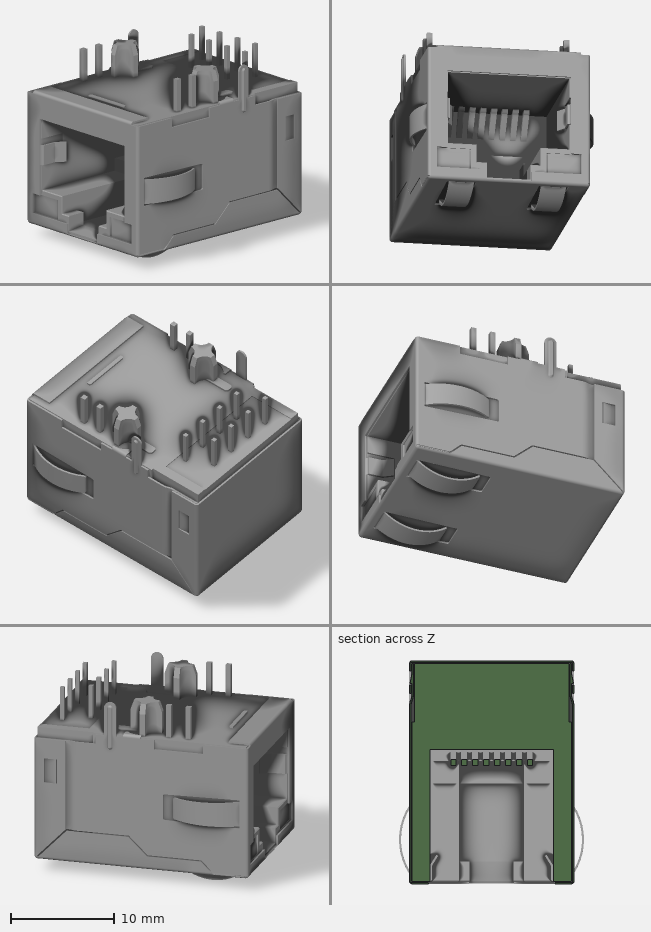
import cadquery as cq
import math


depth = 21.6
half_width = 7.97
sheet = 0.2
gap = 0.05
layer = sheet + gap
bend_radius = 0.3
side_top = 13.26
housing_top = 13.33
shield_inner = half_width - sheet
housing_side = half_width - layer
housing_step = housing_side - layer
back_top = 12.31
pin_top = 16.59

mouth_half_width = 5.96
mouth_top = 10.86
channel_half_width = 3.13
latch_gap_half_width = 2.14
ledge_z = 3.72
catch_top = 1.95
channel_floor = 0.63
mouth_chamfer = 0.09
lip_floor = 0.4
catch_end = 2.14
inner_step_y = 9.72
ledge_step_z = 5.0
carrier_y = 11.88
carrier_z = 6.3
cavity_end = 12.95

light_inner = 3.7
light_outer = 7.1
light_bottom = 1.17
light_top = 3.2
light_slit = 0.17
light_margin = 0.05
light_pocket_depth = 0.22
light_recess = 0.09

contact_count = 8
contact_pitch = 1.05
contact_width = 0.56
contact_thickness = 0.35
contact_bend_z = 10.43
contact_low_z = 8.25
contact_front_y = 11.12
contact_bend_length = 0.25
contact_bend_middle = (11.2, 10.58)

peg_x = 5.72
peg_y = 10.85
peg_reach = 1.58
peg_arm = 0.58
peg_flute_radius = 0.97
peg_top = 16.5
peg_taper_z = 15.55
peg_tip_reach = 1.23
rib_width = 0.9
rib_height = 0.2
rib_end_y = 14.25
rib_corner = 0.3
bar_half_length = 2.53
bar_front_y = 3.13
bar_width = 0.4
bar_height = 0.17
bar_corner = 0.13
recess_half_width = 6.48
recess_front_y = 16.42
recess_depth = 0.09
step_front_y = 15.68

signal_pin = 0.4
signal_pitch = 1.27
signal_count = 8
signal_rows = (19.76, 17.24)
light_pin = 0.52
light_pin_x = 6.72
light_pin_rows = (8.32, 6.33)

opening_half_width = 6.07
opening_top = 10.95
notch_half_width = 2.18
strip_half_width = 7.05
strip_length = 2.2
shield_top = housing_top + layer
low_side_y = 15.38
side_notch = (4.51, 9.45)
jog_front_y = 17.2
flap_front_y = 18.4
flap_line_z = 3.28
seam_gap = 0.15
corner_seam = 0.06
corner_bottom = 0.15
seam_end_y = 3.52
flap_corners = ((12.0, flap_line_z), (10.1, 1.47), (4.67, 1.47))
ground_tab_y = 13.9
ground_tab_width = 1.2
ground_tab_top = 16.7
emboss_width = 0.56
emboss_bottom = 11.9
emboss_top = 16.4
emboss_height = 0.17
emboss_taper = 40

spring_front_y = 1.0
spring_end_y = 7.54
side_spring_z = 6.52
side_spring_reach = 0.97
bottom_spring_x = 4.51
bottom_spring_reach = 1.2
spring_half_widths = (1.23, 1.08)
window_front_y = 0.85
window_end_y = 8.55
window_half_widths = (1.45, 1.32)
spring_corner = 0.17
spring_root_inset = 0.05

tongue_bottom = 6.26
tongue_top = 8.25
tongue_face = 5.77
tongue_wall = tongue_face + sheet
tongue_bend_y = 1.73
tongue_end_y = 2.7
tongue_tip = 5.16
tongue_clearance = 0.17
tongue_pocket_end = 3.02
tongue_pocket_top = 8.92

latch_window_y = (19.27, 20.58)
latch_window_z = (7.86, 10.35)
latch_front_y = 19.38
latch_foot_y = 20.37
latch_rise = 0.2

lug_front_y = 10.82
lug_rear_y = 12.6
lug_tip_x = 7.0
lug_tip_y = 12.38
lug_root_x = 7.67
lug_root_z = side_top - bend_radius
lug_curve = (7.45, 11.82)


def block(x0, x1, y0, y1, z0, z1):
    return cq.Workplane("XY").box(x1 - x0, y1 - y0, z1 - z0, centered=False).translate((x0, y0, z0))


def centred_block(half_x, y0, y1, z0, z1):
    return block(-half_x, half_x, y0, y1, z0, z1)


def post(x, y, size, z0, z1):
    return block(x - size / 2, x + size / 2, y - size / 2, y + size / 2, z0, z1)


def both_sides(body):
    """A +X feature together with its mirror image."""
    return body.union(body.mirror("YZ"))


def side_plate(sketch, x0, x1):
    """Extrude a closed YZ outline from x0 to x1."""
    return sketch.extrude(x1 - x0).translate((x0, 0, 0))


def mouth_cavity():
    cavity = centred_block(mouth_half_width, 0, carrier_y, ledge_step_z, mouth_top)
    cavity = cavity.union(centred_block(mouth_half_width, 0, cavity_end, carrier_z, mouth_top))
    cavity = cavity.union(centred_block(mouth_half_width, 0, inner_step_y, ledge_z, mouth_top))
    cavity = cavity.union(centred_block(channel_half_width, 0, carrier_y, catch_top, mouth_top))
    cavity = cavity.union(
        centred_block(channel_half_width, catch_end, inner_step_y, channel_floor, mouth_top))
    lip = (
        cq.Workplane("YZ")
        .polyline([(layer, lip_floor), (catch_end, channel_floor),
                   (catch_end, mouth_top), (layer, mouth_top)])
        .close()
    )
    return cavity.union(lip.extrude(latch_gap_half_width, both=True))


def chamfer_ledges(body):
    """Break the front edges of the ledges and latch catches."""
    margin = 0.02
    zone = cq.selectors.BoxSelector(
        (-mouth_half_width, layer - margin, catch_top - margin),
        (mouth_half_width, layer + margin, ledge_z + margin))
    return body.edges(zone).chamfer(mouth_chamfer)


def tongue_pocket():
    """Room in the mouth wall for a spring tongue of the shield."""
    return block(tongue_face, tongue_wall + tongue_clearance, 0, tongue_pocket_end,
                 tongue_bottom - gap, tongue_pocket_top)


def light_pocket():
    inner = light_inner
    outer = light_outer - light_margin
    bottom = light_bottom + light_margin
    front = layer
    pocket = block(inner, outer, front, front + light_pocket_depth, bottom, light_top)
    light = block(inner + light_slit, outer, front + light_recess, front + light_pocket_depth,
                  bottom, light_top)
    return pocket.cut(light)


def contact(x):
    """One contact wire running from the ceiling down and back to the rear wall of the mouth."""
    profile = (
        cq.Workplane("YZ")
        .moveTo(contact_front_y, mouth_top + contact_thickness)
        .lineTo(contact_front_y, mouth_top)
        .threePointArc(contact_bend_middle,
                       (contact_front_y + contact_bend_length, contact_bend_z))
        .lineTo(cavity_end, contact_low_z)
        .lineTo(cavity_end, contact_low_z + contact_thickness)
        .lineTo(contact_front_y + 2 * contact_bend_length, mouth_top + contact_thickness)
        .close()
    )
    return profile.extrude(contact_width / 2, both=True).translate((x, 0, 0))


def peg(x):
    """Cross-shaped locating peg with hollow flutes and tapered arm ends."""
    arm = peg_arm / 2
    near = arm + peg_flute_radius
    height = peg_top - housing_top
    outline = centred_block(near, -near, near, 0, height)
    for sx in (-1, 1):
        for sy in (-1, 1):
            flute = cq.Workplane("XY").center(sx * near, sy * near).circle(peg_flute_radius)
            outline = outline.cut(flute.extrude(height))
    for size_x, size_y in ((2 * peg_reach, peg_arm), (peg_arm, 2 * peg_reach)):
        outline = outline.union(
            cq.Workplane("XY").box(size_x, size_y, height, centered=(True, True, False)))
    taper_z = peg_taper_z - housing_top
    taper = (
        cq.Workplane("XZ")
        .polyline([(-peg_reach, 0), (peg_reach, 0), (peg_reach, taper_z), (peg_tip_reach, height),
                   (-peg_tip_reach, height), (-peg_reach, taper_z)])
        .close()
        .extrude(peg_reach, both=True)
    )
    outline = outline.intersect(taper).intersect(taper.rotate((0, 0, 0), (0, 0, 1), 90))
    return outline.translate((x, peg_y, housing_top))


def peg_rib(x):
    rib = block(x - rib_width / 2, x + rib_width / 2, peg_y, rib_end_y,
                housing_top, housing_top + rib_height)
    return rib.edges("|Z and >Y").fillet(rib_corner)


def signal_pins():
    first_x = -(signal_count - 1) / 2 * signal_pitch
    return [
        post(first_x + i * signal_pitch, signal_rows[i % 2], signal_pin,
             housing_top - recess_depth, pin_top)
        for i in range(signal_count)
    ]


def light_pins():
    return [
        post(side * light_pin_x, y, light_pin, housing_top, pin_top)
        for side in (-1, 1)
        for y in light_pin_rows
    ]


def make_housing():
    body = centred_block(housing_side, layer, depth - layer, layer, housing_top)
    body = body.cut(both_sides(
        block(housing_step, half_width, step_front_y, depth, 0, housing_top)))
    body = body.cut(mouth_cavity())
    body = chamfer_ledges(body)
    body = body.cut(both_sides(tongue_pocket()))
    body = body.cut(both_sides(light_pocket()))
    body = body.cut(centred_block(recess_half_width, recess_front_y, depth,
                                  housing_top - recess_depth, housing_top))
    bar = centred_block(bar_half_length, bar_front_y, bar_front_y + bar_width,
                        housing_top, housing_top + bar_height)
    body = body.union(bar.edges("|Z and >Y").chamfer(bar_corner))
    for side in (-1, 1):
        body = body.union(peg(side * peg_x)).union(peg_rib(side * peg_x))
    for pin in signal_pins() + light_pins():
        body = body.union(pin)
    first_x = -(contact_count - 1) / 2 * contact_pitch
    for i in range(contact_count):
        body = body.union(contact(first_x + i * contact_pitch))
    return body


def shell():
    """Five-sided box, open on the board side, with rounded bends."""
    outer = centred_block(half_width, 0, depth, 0, side_top)
    outer = outer.edges("|Z or <Z").fillet(bend_radius)
    inner = centred_block(shield_inner, sheet, depth - sheet, sheet, side_top)
    corner = block(shield_inner, half_width, bend_radius, seam_end_y, corner_bottom, bend_radius)
    slit = block(shield_inner, half_width, 0, seam_end_y, bend_radius - corner_seam, bend_radius)
    return outer.cut(inner).union(both_sides(corner)).cut(both_sides(slit))


def front_opening():
    opening = centred_block(opening_half_width, 0, sheet, light_bottom, opening_top)
    opening = opening.union(centred_block(light_outer, 0, sheet, light_bottom, light_top))
    return opening.union(centred_block(notch_half_width, 0, sheet, sheet, light_top))


def top_strip():
    """Front panel folded back over the housing."""
    strip = centred_block(strip_half_width, 0, strip_length, side_top - bend_radius, shield_top)
    strip = strip.edges(">Z and <Y").fillet(bend_radius)
    return strip.cut(centred_block(strip_half_width, sheet, strip_length, 0, shield_top - sheet))


def seam():
    """Gap between the side wall, the rear flap and the flap folded up from the floor."""
    overrun = 1.3
    outline = (
        cq.Workplane("YZ")
        .polyline([(depth + overrun, -overrun), (flap_front_y, flap_line_z), *flap_corners,
                   (seam_end_y - overrun, bend_radius - overrun)])
        .close()
    )
    whole = outline.extrude(sheet)
    flap = cq.Workplane("YZ").add(outline.wires().val()).toPending()
    flap = flap.offset2D(-seam_gap, "intersection").extrude(sheet)
    above_floor = block(0, sheet, 0, depth, bend_radius - sheet, side_top)
    return whole.cut(flap).intersect(above_floor).translate((shield_inner, 0, 0))


def jogged_wall():
    """Side wall stepping inward to pass under the rear flap."""
    half_jog = (flap_front_y - jog_front_y) / 2
    middle_y = jog_front_y + half_jog
    under_flap = half_width - layer
    radius = (half_jog ** 2 + (layer / 2) ** 2) / layer
    inside_end = under_flap - sheet
    wall = (
        cq.Workplane("XY")
        .moveTo(half_width, jog_front_y)
        .radiusArc((half_width - layer / 2, middle_y), -radius)
        .radiusArc((under_flap, flap_front_y), radius)
        .lineTo(under_flap, depth - layer)
        .lineTo(inside_end, depth - layer)
        .lineTo(inside_end, flap_front_y)
        .radiusArc((shield_inner - layer / 2, middle_y), -radius)
        .radiusArc((shield_inner, jog_front_y), radius)
        .close()
    )
    return wall.extrude(back_top - flap_line_z).translate((0, 0, flap_line_z))


def latch():
    """Ramp on the inner wall, showing in the window of the rear flap."""
    z0, z1 = latch_window_z
    wall = half_width - layer
    wedge = (
        cq.Workplane("XY")
        .polyline([(wall, latch_front_y), (wall + latch_rise, latch_front_y), (wall, latch_foot_y)])
        .close()
    )
    return wedge.extrude(z1 - z0).translate((0, 0, z0))


def ground_tab():
    """Round-ended solder tab with a raised stiffening bead."""
    radius = ground_tab_width / 2
    tab = block(shield_inner, half_width, ground_tab_y - radius, ground_tab_y + radius,
                side_top - sheet, ground_tab_top - radius)
    end = cq.Workplane("YZ").center(ground_tab_y, ground_tab_top - radius).circle(radius)
    bead = (
        cq.Workplane("YZ")
        .center(ground_tab_y, (emboss_bottom + emboss_top) / 2)
        .slot2D(emboss_top - emboss_bottom, emboss_width, 90)
        .extrude(emboss_height, taper=emboss_taper)
        .translate((half_width, 0, 0))
    )
    return tab.union(side_plate(end, shield_inner, half_width)).union(bead)


def hold_down():
    """Hook-shaped lug bent from the side wall over the housing."""
    lug = (
        cq.Workplane("XY")
        .moveTo(half_width, lug_front_y)
        .lineTo(lug_root_x, lug_front_y)
        .threePointArc(lug_curve, (lug_tip_x, lug_tip_y))
        .lineTo(lug_tip_x, lug_rear_y)
        .lineTo(half_width, lug_rear_y)
        .close()
        .extrude(shield_top - lug_root_z)
        .translate((0, 0, lug_root_z))
    )
    lug = lug.edges(">X and >Z").fillet(bend_radius)
    return lug.cut(block(0, shield_inner, lug_front_y, lug_rear_y, 0, shield_top - sheet))


def spring_plan(front_y, end_y, half_widths, height):
    """Tapered plate with its length along Y, rounded at the far end."""
    front, end = half_widths
    plate = (
        cq.Workplane("XY")
        .polyline([(-front, front_y), (front, front_y), (end, end_y), (-end, end_y)])
        .close()
        .extrude(height)
    )
    return plate.edges("|Z and >Y").fillet(spring_corner)


def bowed_spring(reach):
    """Spring strip bowing outward (+Z) from a sheet whose outer face is Z = 0."""
    half_chord = (spring_end_y - spring_front_y) / 2
    middle_y = (spring_end_y + spring_front_y) / 2
    radius = (half_chord ** 2 + reach ** 2) / (2 * reach)
    ring = (
        cq.Workplane("YZ")
        .center(middle_y, reach - radius)
        .circle(radius)
        .circle(radius - sheet)
        .extrude(spring_half_widths[0], both=True)
    )
    plan = spring_plan(spring_front_y, spring_end_y, spring_half_widths, reach + sheet)
    root = centred_block(spring_half_widths[0], window_front_y, spring_front_y, -sheet, -spring_root_inset)
    return ring.intersect(plan.translate((0, 0, -sheet))).union(root)


def spring_window():
    plan = spring_plan(window_front_y, window_end_y, window_half_widths, sheet)
    return plan.translate((0, 0, -sheet))


def on_side(body):
    """Move a spring feature onto the +X side of the shield."""
    return body.rotate((0, 0, 0), (0, 1, 0), 90).translate((half_width, 0, side_spring_z))


def on_floor(body):
    """Move a spring feature under the floor of the shield."""
    return body.rotate((0, 0, 0), (0, 1, 0), 180).translate((bottom_spring_x, 0, 0))


def tongue():
    """Strip folded from the mouth edge, running inward and then bent towards the middle."""
    tilt = math.atan2(tongue_face - tongue_tip, tongue_end_y - tongue_bend_y)
    bend_offset = sheet * math.tan(tilt / 2)
    fold_start = tongue_face + bend_radius
    strip = (
        cq.Workplane("XY")
        .moveTo(fold_start, 0)
        .radiusArc((tongue_face, bend_radius), -bend_radius)
        .lineTo(tongue_face, tongue_bend_y)
        .lineTo(tongue_tip, tongue_end_y)
        .lineTo(tongue_tip + sheet * math.cos(tilt), tongue_end_y + sheet * math.sin(tilt))
        .lineTo(tongue_wall, tongue_bend_y + bend_offset)
        .lineTo(tongue_wall, bend_radius)
        .radiusArc((fold_start, sheet), bend_radius - sheet)
        .close()
    )
    return strip.extrude(tongue_top - tongue_bottom).translate((0, 0, tongue_bottom))


def make_shield():
    body = shell().cut(front_opening()).union(top_strip())
    body = body.cut(both_sides(block(shield_inner, half_width, low_side_y, depth,
                                     back_top, side_top)))
    body = body.cut(centred_block(half_width, depth - bend_radius, depth, back_top, side_top))
    body = body.cut(both_sides(block(shield_inner, half_width, *side_notch,
                                     back_top, side_top)))
    body = body.cut(both_sides(block(shield_inner, half_width, jog_front_y, flap_front_y,
                                     flap_line_z, back_top)))
    body = body.cut(both_sides(seam()))
    latch_window = block(shield_inner, half_width, *latch_window_y, *latch_window_z)
    body = body.cut(both_sides(latch_window))
    for place, reach in ((on_side, side_spring_reach), (on_floor, bottom_spring_reach)):
        body = body.cut(both_sides(place(spring_window())))
        body = body.union(both_sides(place(bowed_spring(reach))))
    for feature in (jogged_wall(), latch(), ground_tab(), hold_down(), tongue()):
        body = body.union(both_sides(feature))
    return body


housing = make_housing()
shield = make_shield()

result = cq.Compound.makeCompound([*housing.vals(), *shield.vals()])